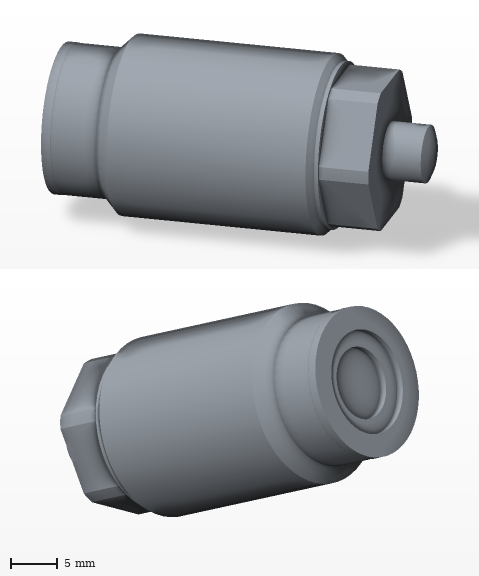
import cadquery as cq
import math

LENGTH = 41.9
RIM_END = 1.0
RIM_TAPER_END = 1.1
NECK_END = 6.1
SLEEVE_END = 30.8
FLANGE_END = 31.25
HEX_END = 36.8
PIN_END = 41.1

SLEEVE_RADIUS = 9.91
NECK_RADIUS = 8.25
RIM_RADIUS = 8.3
SHOULDER_RADIUS = 9.1
FLANGE_RADIUS = 9.18
PIN_RADIUS = 3.2

SLEEVE_START = NECK_END + SHOULDER_RADIUS - NECK_RADIUS
FRONT_CHAMFER = SLEEVE_RADIUS - SHOULDER_RADIUS
REAR_CHAMFER = SLEEVE_RADIUS - FLANGE_RADIUS

HEX_ACROSS_FLATS = 15.93
HEX_CORNER_RADIUS = 8.8

OUTER_RECESS_RADIUS = 5.75
INNER_RECESS_RADIUS = 4.0
RECESS_STEP = 0.85


def cylinder(start, end, radius):
    """Solid cylinder on the X axis."""
    return cq.Workplane("YZ").workplane(offset=start).circle(radius).extrude(end - start)


def make_sleeve():
    """Tube chamfered at both ends, fitted around the core."""
    tube = cylinder(SLEEVE_START, SLEEVE_END, SLEEVE_RADIUS)
    tube = tube.faces("<X").chamfer(FRONT_CHAMFER)
    tube = tube.faces(">X").chamfer(REAR_CHAMFER)
    return tube.cut(cylinder(SLEEVE_START, SLEEVE_END, NECK_RADIUS))


def make_turned_body():
    """Rim, neck, conical shoulder, hidden shank, flange and domed pin."""
    return (
        cq.Workplane("XY")
        .moveTo(0, 0)
        .lineTo(0, RIM_RADIUS)
        .lineTo(RIM_END, RIM_RADIUS)
        .lineTo(RIM_TAPER_END, NECK_RADIUS)
        .lineTo(NECK_END, NECK_RADIUS)
        .lineTo(SLEEVE_START, SHOULDER_RADIUS)
        .lineTo(SLEEVE_START, NECK_RADIUS)
        .lineTo(SLEEVE_END, NECK_RADIUS)
        .lineTo(SLEEVE_END, FLANGE_RADIUS)
        .lineTo(FLANGE_END, FLANGE_RADIUS)
        .lineTo(FLANGE_END, PIN_RADIUS)
        .lineTo(PIN_END, PIN_RADIUS)
        .threePointArc(dome_midpoint(), (LENGTH, 0))
        .close()
        .revolve(360, (0, 0, 0), (1, 0, 0))
    )


def dome_midpoint():
    """Point halfway along the spherical dome profile."""
    dome_height = LENGTH - PIN_END
    dome_radius = (PIN_RADIUS**2 + dome_height**2) / (2 * dome_height)
    half_angle = math.asin(PIN_RADIUS / dome_radius) / 2
    center_x = LENGTH - dome_radius
    return center_x + dome_radius * math.cos(half_angle), dome_radius * math.sin(half_angle)


def make_hexagon():
    """Hexagon with flats facing up and down and rounded corners."""
    across_corners = HEX_ACROSS_FLATS / math.cos(math.pi / 6)
    hexagon = (
        cq.Workplane("YZ")
        .workplane(offset=FLANGE_END)
        .polygon(6, across_corners)
        .extrude(HEX_END - FLANGE_END)
    )
    return hexagon.intersect(cylinder(FLANGE_END, HEX_END, HEX_CORNER_RADIUS))


def make_core():
    """Core with its hexagon and the stepped recess in its flat end."""
    core = make_turned_body().union(make_hexagon())
    core = core.cut(cylinder(0, RECESS_STEP, OUTER_RECESS_RADIUS))
    return core.cut(cylinder(RECESS_STEP, 2 * RECESS_STEP, INNER_RECESS_RADIUS))


sleeve = make_sleeve()
core = make_core()

result = cq.Compound.makeCompound([sleeve.solids().val(), core.solids().val()])